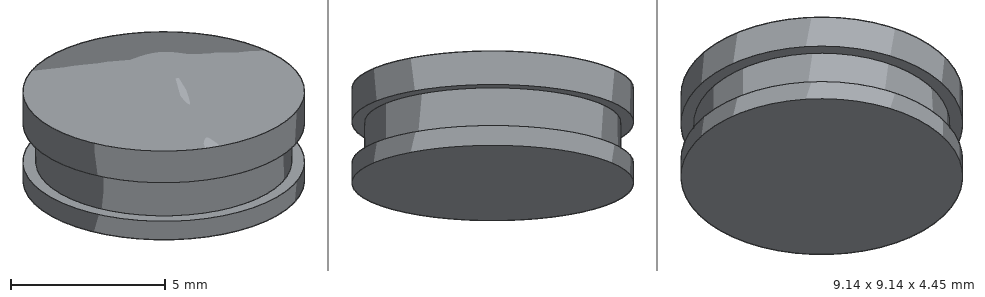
import cadquery as cq

outer_diameter = 9.14
groove_diameter = 8.31
total_height = 4.45
flange_height = 0.67
groove_height = 1.38
rim_height = 1.13

outer_radius = outer_diameter / 2
groove_radius = groove_diameter / 2
groove_top = flange_height + groove_height
rim_top = groove_top + rim_height

half_section = (
    cq.Workplane("XZ")
    .moveTo(0, 0)
    .lineTo(outer_radius, 0)
    .lineTo(outer_radius, flange_height)
    .lineTo(groove_radius, flange_height)
    .lineTo(groove_radius, groove_top)
    .lineTo(outer_radius, groove_top)
    .lineTo(outer_radius, rim_top)
    .lineTo(0, total_height)
    .close()
)

result = half_section.revolve(360, (0, 0, 0), (0, 1, 0))